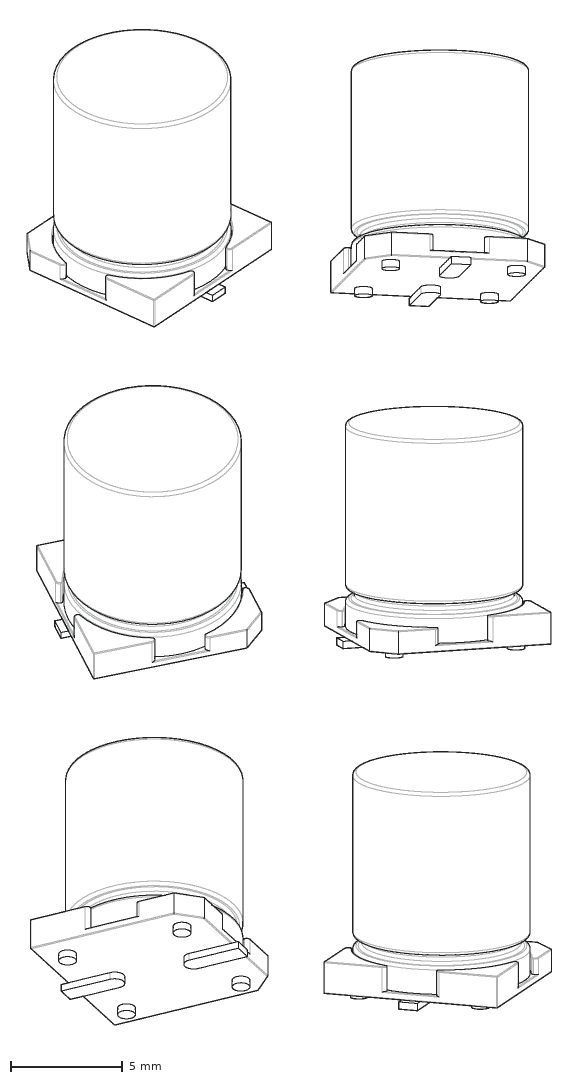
import cadquery as cq

total_height = 10.0
lead_thickness = 0.34
seat_floor = 0.67
low_corner_top = 1.42
tall_corner_top = 1.82

base_width = 8.3
base_bevel = 1.02
edge_round = 0.04
seat_diameter = 8.1
notch_width = 2.38
tip_outer_round = 0.18
tip_inner_round = 0.12

can_diameter = 8.0
groove_diameter = 7.2
groove_middle = 2.2
groove_floor_height = 0.2
bead_round = 0.15
rim_round = 0.15

lead_span = 8.98
lead_width = 0.9
lead_end_center = 2.0
foot_diameter = 0.8
foot_offset = 2.9

half_base = base_width / 2
half_notch = notch_width / 2
seat_radius = seat_diameter / 2


def near(x, y):
    """Selector for the upright edge that passes through (x, y)."""
    size = 0.01
    low = (x - size, y - size, -total_height)
    high = (x + size, y + size, total_height)
    return cq.selectors.BoxSelector(low, high)


def base_slab():
    """Thin square plate under the can, with its two -X corners bevelled."""
    slab = cq.Workplane("XY").workplane(offset=lead_thickness)
    slab = slab.rect(base_width, base_width).extrude(seat_floor - lead_thickness)
    slab = slab.edges("|Z and <X").chamfer(base_bevel)
    slab = slab.edges("|Z and >X").fillet(edge_round)
    return slab.faces("|Z").edges().fillet(edge_round)


def corner_block(top, bevelled):
    """Corner post in the +X +Y quadrant that wraps around the can."""
    side = half_base - half_notch
    height = top - lead_thickness
    block = (
        cq.Workplane("XY")
        .box(side, side, height, centered=False)
        .translate((half_notch, half_notch, lead_thickness))
    )
    block = block.cut(cq.Workplane("XY").circle(seat_radius).extrude(total_height))

    seat_reach = (seat_radius**2 - half_notch**2) ** 0.5
    for a, b, radius in (
        (half_notch, half_base, tip_outer_round),
        (half_notch, seat_reach, tip_inner_round),
    ):
        block = block.edges(near(a, b)).fillet(radius)
        block = block.edges(near(b, a)).fillet(radius)

    outer_corner = block.edges(near(half_base, half_base))
    if bevelled:
        block = outer_corner.chamfer(base_bevel)
    else:
        block = outer_corner.fillet(edge_round)
    return block.faces("|Z").edges().fillet(edge_round)


def can():
    """Turned can with a rounded top rim and a rolled groove near the base."""
    outer = can_diameter / 2
    inner = groove_diameter / 2
    shoulder = outer - bead_round
    throat = inner + bead_round
    floor_low = groove_middle - groove_floor_height / 2
    floor_high = groove_middle + groove_floor_height / 2
    wall_low = floor_low - bead_round
    wall_high = floor_high + bead_round
    profile = (
        cq.Workplane("XZ")
        .moveTo(0, lead_thickness + edge_round)
        .lineTo(outer, lead_thickness + edge_round)
        .lineTo(outer, wall_low - bead_round)
        .tangentArcPoint((shoulder, wall_low), relative=False)
        .lineTo(throat, wall_low)
        .tangentArcPoint((inner, floor_low), relative=False)
        .lineTo(inner, floor_high)
        .tangentArcPoint((throat, wall_high), relative=False)
        .lineTo(shoulder, wall_high)
        .tangentArcPoint((outer, wall_high + bead_round), relative=False)
        .lineTo(outer, total_height - rim_round)
        .tangentArcPoint((outer - rim_round, total_height), relative=False)
        .lineTo(0, total_height)
        .close()
    )
    return profile.revolve(360, (0, 0, 0), (0, 1, 0))


def lead():
    """Flat +X lead, square outside the base and round at its inner end."""
    length = lead_span / 2 - lead_end_center
    bar = cq.Workplane("XY").box(length, lead_width, lead_thickness, centered=(False, True, False))
    inner_end = cq.Workplane("XY").circle(lead_width / 2).extrude(lead_thickness)
    return bar.union(inner_end).translate((lead_end_center, 0, 0))


def feet():
    """Four round standoffs under the base."""
    pitch = 2 * foot_offset
    return (
        cq.Workplane("XY")
        .rarray(pitch, pitch, 2, 2)
        .circle(foot_diameter / 2)
        .extrude(lead_thickness)
    )


result = base_slab()

tall_block = corner_block(tall_corner_top, bevelled=False)
low_block = corner_block(low_corner_top, bevelled=True).mirror("YZ")
for block in (tall_block, low_block):
    result = result.union(block).union(block.mirror("XZ"))

result = result.union(can())
result = result.union(lead()).union(lead().mirror("YZ"))
result = result.union(feet())